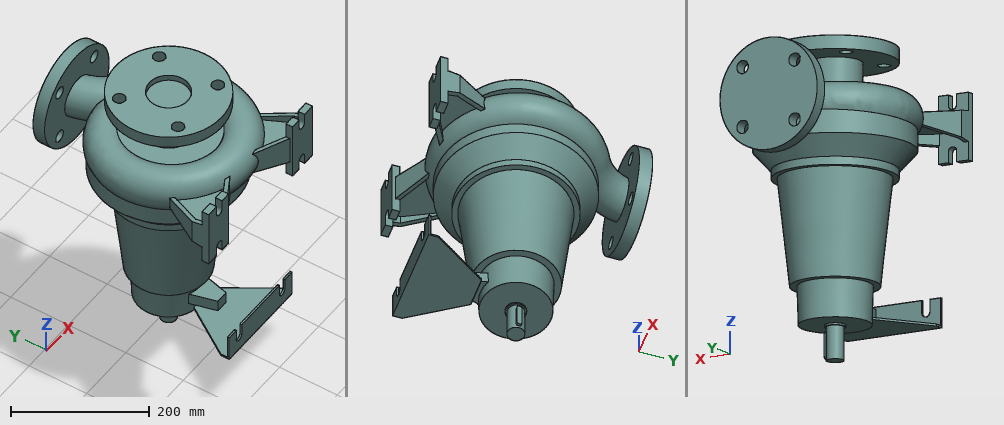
import cadquery as cq
import math


overall_height = 460

suction_face_z = 100.5
flange_thickness = 20.2
suction_flange_radius = 92.5
suction_neck_radius = 40.0
suction_bore_radius = 33.0
suction_bore_depth = 10.0
suction_bolt_circle_radius = 72.0
bolt_hole_diameter = 19.5
bolt_hole_count = 4
first_bolt_angle = 45

tube_radius = 32.5
tail_end_radius = 28.5
volute_radius = 101.0
volute_offset_x = 8.5
outlet_flange_radius = 83.0
outlet_bolt_circle_radius = 62.5

cover_z = 25.0
cover_radius = 80.0
casing_radius = 119.0
casing_bottom_z = -50.0
cone_bottom_z = -79.0
ring_radius = 92.5
ring_bottom_z = -91.0
housing_top_radius = 83.5
housing_bottom_radius = 66.0
housing_bottom_z = -250.2
bearing_top_radius = 55.0
bearing_bottom_radius = 53.5
bearing_bottom_z = -307.5
collar_radius = 15.5
collar_bottom_z = -310.0
shaft_radius = 13.0
shaft_bottom_z = suction_face_z - overall_height

key_top_z = -315.5
key_bottom_z = -355.5
key_width = 8.0
key_reach = 16.5

foot_face_y = -160.0
foot_outer_x = 133.0
foot_width = 51.0
foot_thickness = 11.5
foot_height = 100.5
foot_slot_x = 106.0
slot_width = 14.0
foot_slot_depth = 22.5

rib_thickness = 7.0
web_thickness = 12.0
bracket_corner_y = -130.5
bracket_outer_end = (91.0, -47.5)
bracket_inner_end = (11.0, -116.0)
bracket_root_y = -148.5
bracket_root_height = 46.0
bracket_tip_y = -71.0
bracket_tip_height = 18.5

sheet_thickness = 3.0
sheet_half_width = 80.5
sheet_bottom_z = -290.0
sheet_height = 44.0
sheet_corner_y = -145.5
sheet_back_y = -60.3
sheet_back_half_width = 24.0
sheet_slot_x = 55.0
sheet_slot_depth = 25.5
block_height = 19.5
block_front_y = -93.0
block_front_half_width = 10.5
block_back_y = -46.0
block_back_half_width = 23.0

centre_distance = 2 * volute_radius
junction_angle = math.degrees(math.acos((volute_radius - volute_offset_x) / centre_distance))
outlet_face_y = centre_distance * math.sin(math.radians(junction_angle))


def tube_arc(centre_x, centre_y, bend_radius, start_angle, end_angle):
    """Round tube bent in the XY plane, counter-clockwise between two angles."""
    return (
        cq.Workplane("XZ")
        .center(bend_radius, 0)
        .circle(tube_radius)
        .revolve(end_angle - start_angle, (-bend_radius, 0), (-bend_radius, 1))
        .rotate((0, 0, 0), (0, 0, 1), start_angle)
        .translate((centre_x, centre_y, 0))
    )


def make_tail():
    """Narrowing end of the spiral, running on about the pump axis until it is inside the outlet bend."""
    bend_radius = volute_radius - volute_offset_x

    def on_bend(angle):
        turn = math.radians(angle)
        return (bend_radius * math.cos(turn), bend_radius * math.sin(turn))

    def section(angle, radius):
        x, y = on_bend(angle)
        plane = cq.Plane(origin=(x, y, 0), xDir=(x, y, 0), normal=(y, -x, 0))
        return cq.Workplane(plane).circle(radius).wire()

    path = (
        cq.Workplane("XY")
        .moveTo(*on_bend(180))
        .threePointArc(on_bend((180 + junction_angle) / 2), on_bend(junction_angle))
    )
    start = section(180, tube_radius)
    end = section(junction_angle, tail_end_radius)
    return start.add(end).toPending().sweep(path, multisection=True)


def make_volute():
    """Spiral tube, the outlet bend that leaves it, and its narrowing tail."""
    spiral = tube_arc(volute_offset_x, 0, volute_radius, 180, 360 + junction_angle)
    outlet = tube_arc(volute_radius, outlet_face_y, volute_radius, 180, 180 + junction_angle)
    return spiral.union(outlet).union(make_tail())


def make_body():
    """Casing, bearing housing and shaft, turned about Z."""
    profile = [
        (0, cover_z),
        (cover_radius, cover_z),
        (cover_radius, 0),
        (casing_radius, 0),
        (casing_radius, casing_bottom_z),
        (ring_radius, cone_bottom_z),
        (ring_radius, ring_bottom_z),
        (housing_top_radius, ring_bottom_z),
        (housing_bottom_radius, housing_bottom_z),
        (bearing_top_radius, housing_bottom_z),
        (bearing_bottom_radius, bearing_bottom_z),
        (collar_radius, bearing_bottom_z),
        (collar_radius, collar_bottom_z),
        (shaft_radius, collar_bottom_z),
        (shaft_radius, shaft_bottom_z),
        (0, shaft_bottom_z),
    ]
    return cq.Workplane("XZ").polyline(profile).close().revolve(360, (0, 0), (0, 1))


def make_key():
    """Round-ended key standing out of the shaft on +X."""
    return (
        cq.Workplane("YZ")
        .center(0, (key_top_z + key_bottom_z) / 2)
        .slot2D(key_top_z - key_bottom_z, key_width, 90)
        .extrude(key_reach)
    )


def drilled_flange(radius, bolt_circle_radius):
    """Flange whose outer face lies on Z = 0, with the disc below it."""
    return (
        cq.Workplane("XY")
        .circle(radius)
        .polarArray(bolt_circle_radius, first_bolt_angle, 360, bolt_hole_count)
        .circle(bolt_hole_diameter / 2)
        .extrude(-flange_thickness)
    )


def make_suction():
    """Suction neck and flange with a shallow recess in the face."""
    neck = cq.Workplane("XY").circle(suction_neck_radius).extrude(suction_face_z)
    bore = (
        cq.Workplane("XY", origin=(0, 0, suction_face_z))
        .circle(suction_bore_radius)
        .extrude(-suction_bore_depth)
    )
    flange = drilled_flange(suction_flange_radius, suction_bolt_circle_radius)
    return neck.union(flange.translate((0, 0, suction_face_z))).cut(bore)


def make_outlet_flange():
    """Outlet flange facing +Y."""
    flange = drilled_flange(outlet_flange_radius, outlet_bolt_circle_radius)
    return flange.rotate((0, 0, 0), (1, 0, 0), -90).translate((0, outlet_face_y, 0))


def open_slot(x, edge_z, depth, direction):
    """Cutter along Y for a round-ended slot; direction is the way it runs in Z from the edge."""
    straight = depth - slot_width / 2
    end_z = edge_z + direction * straight
    half = slot_width / 2
    return (
        cq.Workplane("XZ", origin=(0, foot_face_y, 0))
        .moveTo(x - half, edge_z)
        .lineTo(x - half, end_z)
        .threePointArc((x, edge_z + direction * depth), (x + half, end_z))
        .lineTo(x + half, edge_z)
        .close()
        .extrude(-foot_thickness)
    )


def make_foot():
    """Slotted foot plate on the +X side."""
    plate = cq.Workplane("XY").box(foot_width, foot_thickness, foot_height).translate(
        (foot_outer_x - foot_width / 2, foot_face_y + foot_thickness / 2, 0)
    )
    for direction in (-1, 1):
        edge_z = -direction * foot_height / 2
        plate = plate.cut(open_slot(foot_slot_x, edge_z, foot_slot_depth, direction))
    return plate


def make_bracket():
    """Ribs and web from the +X foot plate into the volute."""
    start_y = foot_face_y + foot_thickness - rib_thickness
    outline = [
        (foot_outer_x, start_y),
        (foot_outer_x, bracket_corner_y),
        bracket_outer_end,
        bracket_inner_end,
        (foot_outer_x - foot_width, start_y),
    ]
    block = cq.Workplane("XY").polyline(outline).close().extrude(foot_height / 2, both=True)
    web = cq.Workplane("XY").polyline(outline).close().extrude(web_thickness / 2, both=True)
    pocket = (
        cq.Workplane("XY")
        .polyline(outline)
        .close()
        .offset2D(-rib_thickness)
        .extrude(foot_height / 2, both=True)
        .cut(web)
    )

    slope = (bracket_root_height - bracket_tip_height) / 2 / (bracket_root_y - bracket_tip_y)
    end_y = bracket_outer_end[1]
    start_half = bracket_root_height / 2 + slope * (start_y - bracket_root_y)
    end_half = bracket_root_height / 2 + slope * (end_y - bracket_root_y)
    taper = (
        cq.Workplane("YZ")
        .polyline([(start_y, start_half), (end_y, end_half), (end_y, -end_half), (start_y, -start_half)])
        .close()
        .extrude(foot_outer_x)
    )
    return block.cut(pocket).intersect(taper)


def symmetric_plate(half_outline, bottom_z, thickness):
    """Flat plate mirrored about X = 0 from the points of its +X half."""
    mirrored = [(-x, y) for x, y in reversed(half_outline)]
    return (
        cq.Workplane("XY", origin=(0, 0, bottom_z))
        .polyline(half_outline + mirrored)
        .close()
        .extrude(thickness)
    )


def make_lower_support():
    """Bent sheet with two slots, held to the bearing housing by a wedge block."""
    sheet = [
        (sheet_half_width, foot_face_y),
        (sheet_half_width, sheet_corner_y),
        (sheet_back_half_width, sheet_back_y),
    ]
    upright = [
        (sheet_half_width, foot_face_y),
        (sheet_half_width, foot_face_y + sheet_thickness),
    ]
    wedge = [
        (block_front_half_width, block_front_y),
        (block_back_half_width, block_back_y),
    ]
    support = symmetric_plate(sheet, sheet_bottom_z, sheet_thickness)
    support = support.union(symmetric_plate(upright, sheet_bottom_z, sheet_height))
    support = support.union(symmetric_plate(wedge, sheet_bottom_z + sheet_thickness, block_height))
    for x in (-sheet_slot_x, sheet_slot_x):
        support = support.cut(open_slot(x, sheet_bottom_z + sheet_height, sheet_slot_depth, -1))
    return support


foot = make_foot().union(make_bracket())

result = (
    make_body()
    .union(make_volute())
    .union(make_key())
    .union(make_suction())
    .union(make_outlet_flange())
    .union(foot)
    .union(foot.mirror("YZ"))
    .union(make_lower_support())
)